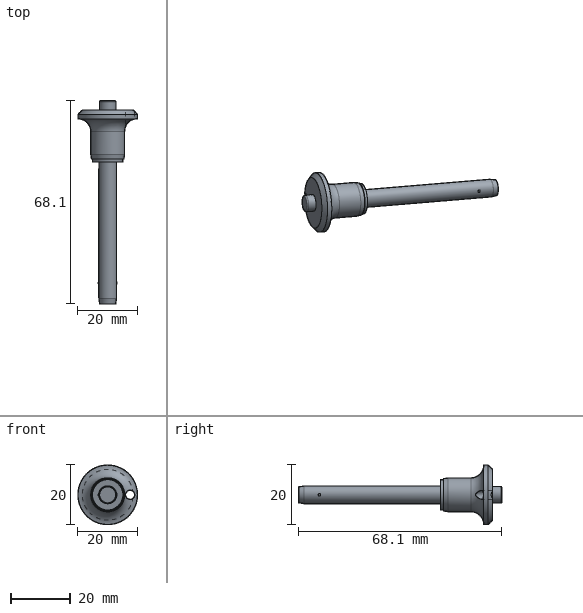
import cadquery as cq


overall_length = 68.1
flange_diameter = 20.0

shaft_radius = 3.0
tip_radius = 2.7
tip_taper_length = 1.9

ball_radius = 0.5
ball_protrusion = 0.2
ball_from_tip = 7.0

nose_radius = 5.1
nose_length = 1.0
barrel_radius = 5.7
barrel_taper_length = 1.6
barrel_taper_depth = 0.25
barrel_length = 7.6
flange_rim_width = 1.5
flange_chamfer = 1.5

button_radius = 2.8
button_length = 3.1
button_edge_radius = 0.5

lanyard_hole_diameter = 3.0
lanyard_hole_offset = 7.5

flange_radius = flange_diameter / 2
flare_radius = flange_radius - barrel_radius
barrel_start_y = nose_length
taper_end_y = barrel_start_y + barrel_taper_length
flare_start_y = taper_end_y + barrel_length
rim_start_y = flare_start_y + flare_radius
rim_end_y = rim_start_y + flange_rim_width
flange_back_y = rim_end_y + flange_chamfer
button_end_y = flange_back_y + button_length
tip_y = button_end_y - overall_length


def revolve_about_y(profile):
    """Close a half profile drawn in the XY plane and turn it about the Y axis."""
    return profile.close().revolve(360, (0, 0, 0), (0, 1, 0))


def make_shaft():
    """Shaft with a tapered tip, reaching past the shoulder into the nose."""
    profile = (
        cq.Workplane("XY")
        .moveTo(0, tip_y)
        .lineTo(tip_radius, tip_y)
        .lineTo(shaft_radius, tip_y + tip_taper_length)
        .lineTo(shaft_radius, barrel_start_y)
        .lineTo(0, barrel_start_y)
    )
    return revolve_about_y(profile)


def make_handle():
    """Nose, tapered barrel and flange, joined by a concave quarter-round flare."""
    profile = (
        cq.Workplane("XY")
        .lineTo(nose_radius, 0)
        .lineTo(nose_radius, barrel_start_y)
        .lineTo(barrel_radius - barrel_taper_depth, barrel_start_y)
        .lineTo(barrel_radius, taper_end_y)
        .lineTo(barrel_radius, flare_start_y)
        .radiusArc((flange_radius, rim_start_y), flare_radius)
        .lineTo(flange_radius, rim_end_y)
        .lineTo(flange_radius - flange_chamfer, flange_back_y)
        .lineTo(0, flange_back_y)
    )
    return revolve_about_y(profile)


def make_button():
    """Release button standing on the back of the flange, with a rounded end edge."""
    profile = (
        cq.Workplane("XY")
        .moveTo(0, rim_end_y)
        .lineTo(button_radius, rim_end_y)
        .lineTo(button_radius, button_end_y - button_edge_radius)
        .radiusArc((button_radius - button_edge_radius, button_end_y), -button_edge_radius)
        .lineTo(0, button_end_y)
    )
    return revolve_about_y(profile)


def make_ball(side):
    """Locking ball on the +X side (side = 1) or the -X side (side = -1)."""
    center_x = side * (shaft_radius + ball_protrusion - ball_radius)
    return cq.Workplane("XY").sphere(ball_radius).translate((center_x, tip_y + ball_from_tip, 0))


def make_lanyard_hole():
    """Cutter parallel to the axis, passing through the flare and the flange."""
    return (
        cq.Workplane("XZ", origin=(lanyard_hole_offset, flange_back_y, 0))
        .circle(lanyard_hole_diameter / 2)
        .extrude(flange_back_y - flare_start_y)
    )


pin = make_shaft().union(make_handle()).union(make_button())
for side in (-1, 1):
    pin = pin.union(make_ball(side))

result = pin.cut(make_lanyard_hole())